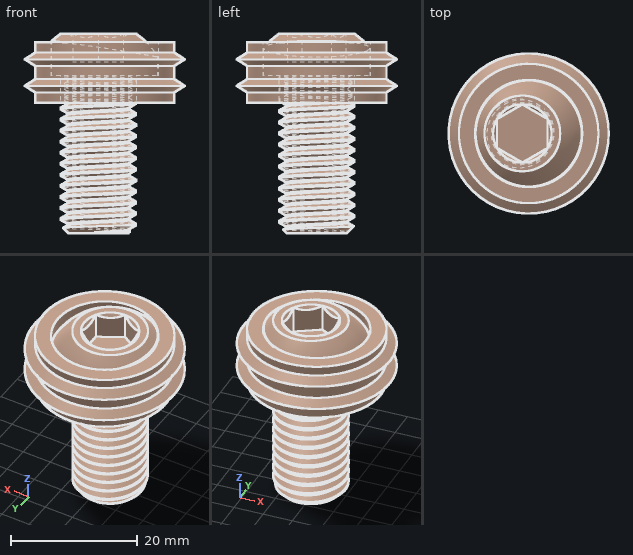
import cadquery as cq
import math

RIDGE_DIAMETER = 25.4
BODY_DIAMETER = 22.1
END_BAND_HEIGHT = 1.65
RIDGE_HEIGHT = 2.1
MIDDLE_BAND_HEIGHT = 2.1
ROLLER_HEIGHT = 2 * END_BAND_HEIGHT + 2 * RIDGE_HEIGHT + MIDDLE_BAND_HEIGHT
RIDGE_STARTS = (END_BAND_HEIGHT, END_BAND_HEIGHT + RIDGE_HEIGHT + MIDDLE_BAND_HEIGHT)

ECCENTRICITY = 1.0
SCREW_X = -ECCENTRICITY
THREAD_DIAMETER = 12.0
PITCH = 1.75
SHANK_LENGTH = 25.0
TIP_DIAMETER = 9.5

HEAD_HEIGHT = 6.6
HEAD_BASE_DIAMETER = 21.0
HEAD_TOP_DIAMETER = 12.0

SOCKET_ACROSS_FLATS = 8.0
SOCKET_ACROSS_CORNERS = SOCKET_ACROSS_FLATS / math.cos(math.radians(30))
SOCKET_DEPTH = 4.5
SOCKET_CHAMFER_ANGLE = 45.0

RECESS_DIAMETER = 17.0
HEAD_CLEARANCE = 0.1
HEAD_TRIM_DIAMETER = RECESS_DIAMETER - 2 * HEAD_CLEARANCE
HEAD_RISE = 1.35
HEAD_TOP_Z = ROLLER_HEIGHT + HEAD_RISE
SEAT_Z = HEAD_TOP_Z - HEAD_HEIGHT
TIP_Z = SEAT_Z - SHANK_LENGTH

FLANK_ANGLE = 30.0
SHARP_THREAD_HEIGHT = PITCH / (2 * math.tan(math.radians(FLANK_ANGLE)))
CREST_FLAT = PITCH / 8
THREAD_DEPTH = SHARP_THREAD_HEIGHT * 17 / 24
CREST_RADIUS = THREAD_DIAMETER / 2
ROOT_RADIUS = CREST_RADIUS - THREAD_DEPTH
RIDGE_EMBED = 0.1
ROD_OVERRUN = 1.5 * PITCH
EXTRA_TURNS = 3
ROD_TURNS = math.ceil(SHANK_LENGTH / PITCH) + EXTRA_TURNS
ROD_LENGTH = ROD_TURNS * PITCH
ROD_BOTTOM_Z = SEAT_Z + ROD_OVERRUN - ROD_LENGTH


def make_roller():
    body_radius = BODY_DIAMETER / 2
    ridge_radius = RIDGE_DIAMETER / 2
    outline = cq.Workplane("XZ").lineTo(body_radius, 0)
    for start in RIDGE_STARTS:
        outline = (
            outline.lineTo(body_radius, start)
            .lineTo(ridge_radius, start + RIDGE_HEIGHT / 2)
            .lineTo(body_radius, start + RIDGE_HEIGHT)
        )
    outline = outline.lineTo(body_radius, ROLLER_HEIGHT).lineTo(0, ROLLER_HEIGHT).close()
    ring = outline.revolve(360, (0, 0, 0), (0, 1, 0))

    recess = (
        cq.Workplane("XY", origin=(0, 0, SEAT_Z))
        .circle(RECESS_DIAMETER / 2)
        .extrude(ROLLER_HEIGHT - SEAT_Z)
    )
    screw_hole = (
        cq.Workplane("XY", origin=(SCREW_X, 0, 0))
        .circle(CREST_RADIUS)
        .extrude(ROLLER_HEIGHT)
    )
    return ring.cut(recess).cut(screw_hole)


def make_thread_ridge():
    """Right-hand helical ridge with a flat crest, its foot sunk into the core."""
    foot_radius = ROOT_RADIUS - RIDGE_EMBED
    crest_half_width = CREST_FLAT / 2
    flank_width = (CREST_RADIUS - foot_radius) * math.tan(math.radians(FLANK_ANGLE))
    foot_half_width = crest_half_width + flank_width
    helix = cq.Wire.makeHelix(PITCH, ROD_LENGTH, ROOT_RADIUS)
    ridge = (
        cq.Workplane("XZ")
        .moveTo(foot_radius, -foot_half_width)
        .lineTo(CREST_RADIUS, -crest_half_width)
        .lineTo(CREST_RADIUS, crest_half_width)
        .lineTo(foot_radius, foot_half_width)
        .close()
        .sweep(cq.Workplane("XY").newObject([helix]), isFrenet=True)
    )
    return ridge.translate((SCREW_X, 0, ROD_BOTTOM_Z))


def make_shank():
    """Threaded rod cut to length, with a 45 degree chamfer at the tip."""
    core = (
        cq.Workplane("XY", origin=(SCREW_X, 0, ROD_BOTTOM_Z))
        .circle(ROOT_RADIUS)
        .extrude(ROD_LENGTH)
    )
    rod = core.union(make_thread_ridge())

    tip_radius = TIP_DIAMETER / 2
    envelope_radius = THREAD_DIAMETER
    envelope = (
        cq.Workplane("XZ", origin=(SCREW_X, 0, TIP_Z))
        .lineTo(tip_radius, 0)
        .lineTo(envelope_radius, envelope_radius - tip_radius)
        .lineTo(envelope_radius, SHANK_LENGTH)
        .lineTo(0, SHANK_LENGTH)
        .close()
        .revolve(360, (0, 0, 0), (0, 1, 0))
    )
    return rod.intersect(envelope)


def make_head():
    """Domed head, trimmed round the roller axis so that it fits the recess."""
    base_radius = HEAD_BASE_DIAMETER / 2
    top_radius = HEAD_TOP_DIAMETER / 2
    dome_centre = (HEAD_HEIGHT**2 + top_radius**2 - base_radius**2) / (2 * HEAD_HEIGHT)
    dome_radius = math.hypot(base_radius, dome_centre)
    middle_radius = (base_radius + top_radius) / 2
    middle_height = dome_centre + math.sqrt(dome_radius**2 - middle_radius**2)
    dome = (
        cq.Workplane("XZ", origin=(SCREW_X, 0, SEAT_Z))
        .lineTo(base_radius, 0)
        .threePointArc((middle_radius, middle_height), (top_radius, HEAD_HEIGHT))
        .lineTo(0, HEAD_HEIGHT)
        .close()
        .revolve(360, (0, 0, 0), (0, 1, 0))
    )
    trim = (
        cq.Workplane("XY", origin=(0, 0, SEAT_Z))
        .circle(HEAD_TRIM_DIAMETER / 2)
        .extrude(HEAD_HEIGHT)
    )
    return dome.intersect(trim)


def make_socket():
    """Hexagon socket with a conical lead-in as wide as the hexagon corners."""
    hexagon = (
        cq.Workplane("XY", origin=(SCREW_X, 0, HEAD_TOP_Z))
        .transformed(rotate=(0, 0, 90))
        .polygon(6, SOCKET_ACROSS_CORNERS)
        .extrude(-SOCKET_DEPTH)
    )
    mouth_radius = SOCKET_ACROSS_CORNERS / 2
    inner_radius = SOCKET_ACROSS_FLATS / 2
    cone_depth = (mouth_radius - inner_radius) * math.tan(math.radians(SOCKET_CHAMFER_ANGLE))
    cone = (
        cq.Workplane("XZ", origin=(SCREW_X, 0, HEAD_TOP_Z))
        .lineTo(mouth_radius, 0)
        .lineTo(inner_radius, -cone_depth)
        .lineTo(0, -cone_depth)
        .close()
        .revolve(360, (0, 0, 0), (0, 1, 0))
    )
    return hexagon.union(cone)


def make_screw():
    return make_head().cut(make_socket()).union(make_shank())


roller = make_roller()
screw = make_screw()

result = cq.Compound.makeCompound([*roller.solids().vals(), *screw.solids().vals()])